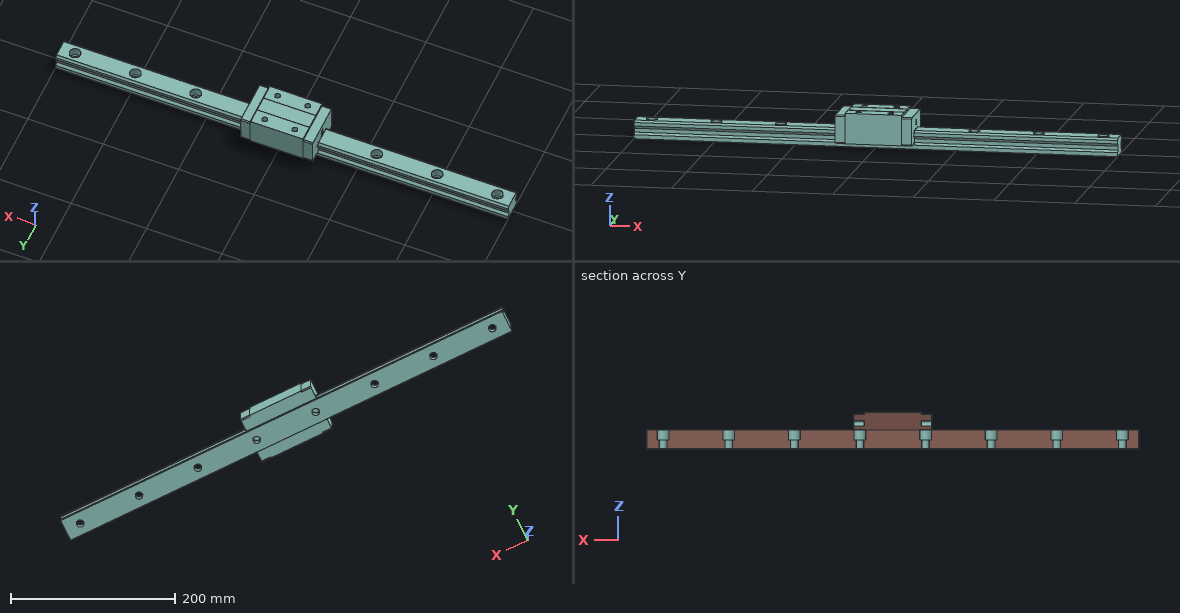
import cadquery as cq
import math

rail_length = 600.0
rail_width = 28.0
rail_height = 23.0
waist_width = 21.0
foot_height = 5.2
waist_bottom = 7.8
waist_top = 12.6
head_bottom = 16.1

cove_radius = 4.0
cove_offset = 1.2

hole_pitch = 80.0
hole_count = 8
hole_diameter = 9.0
counterbore_diameter = 14.0
counterbore_depth = 12.0

overall_height = 45.0
carriage_bottom = 7.0
body_length = 70.0
body_width = 60.0

carriage_length = 95.4
cap_length = (carriage_length - body_length) / 2
cap_width = 59.8
cap_top = 42.2
cap_chamfer = 1.5

relief_width = 20.0
relief_depth = 0.2

tap_diameter = 6.75
tap_depth = 12.0
tap_spacing_x = 40.0
tap_spacing_y = 40.0
drill_point_angle = 118.0
drill_tip_height = tap_diameter / 2 / math.tan(math.radians(drill_point_angle / 2))

grease_diameter = 6.0
grease_height = 31.0


def flank_points(side):
    """Corners up one flank of the rail, from the foot to the top."""
    edge = side * rail_width / 2
    waist = side * waist_width / 2
    return [
        (edge, 0),
        (edge, foot_height),
        (waist, waist_bottom),
        (waist, waist_top),
        (edge, head_bottom),
        (edge, rail_height),
    ]


def make_rail_blank():
    """Rail without its mounting holes."""
    outline = flank_points(1) + flank_points(-1)[::-1]
    blank = cq.Workplane("YZ").polyline(outline).close().extrude(rail_length / 2, both=True)
    cove_y = rail_width / 2 + cove_offset
    cove_z = rail_height + cove_offset
    coves = (
        cq.Workplane("YZ")
        .pushPoints([(-cove_y, cove_z), (cove_y, cove_z)])
        .circle(cove_radius)
        .extrude(rail_length / 2, both=True)
    )
    return blank.cut(coves)


def make_rail():
    return (
        make_rail_blank()
        .faces(">Z")
        .workplane(origin=(0, 0, rail_height))
        .rarray(hole_pitch, 1, hole_count, 1)
        .cboreHole(hole_diameter, counterbore_diameter, counterbore_depth)
    )


def make_block(length, width, bottom, top):
    """Box centred in X and Y between two heights."""
    base = cq.Workplane("XY", origin=(0, 0, bottom))
    return base.box(length, width, top - bottom, centered=(True, True, False))


def make_tap_hole(x, y):
    """Cutter for one blind hole: a cylinder ending in a drill cone."""
    down = cq.Vector(0, 0, -1)
    radius = tap_diameter / 2
    bore = cq.Solid.makeCylinder(radius, tap_depth, cq.Vector(x, y, overall_height), down)
    tip_start = cq.Vector(x, y, overall_height - tap_depth)
    tip = cq.Solid.makeCone(radius, 0, drill_tip_height, tip_start, down)
    return bore.fuse(tip)


def make_grease_hole(side):
    """Cutter through the end cap on one end, stopping at the body."""
    return (
        cq.Workplane("YZ", origin=(side * body_length / 2, 0, grease_height))
        .circle(grease_diameter / 2)
        .extrude(side * cap_length)
    )


def make_carriage():
    body = make_block(body_length, body_width, carriage_bottom, overall_height)
    caps = make_block(carriage_length, cap_width, carriage_bottom, cap_top)
    caps = caps.edges("|X").chamfer(cap_chamfer)
    relief = make_block(body_length, relief_width, overall_height - relief_depth, overall_height)
    carriage = body.union(caps).cut(make_rail_blank()).cut(relief)

    for side_x in (-1, 1):
        carriage = carriage.cut(make_grease_hole(side_x))
        for side_y in (-1, 1):
            tap_hole = make_tap_hole(side_x * tap_spacing_x / 2, side_y * tap_spacing_y / 2)
            carriage = carriage.cut(cq.Workplane(tap_hole))
    return carriage


rail = make_rail()
carriage = make_carriage()
result = cq.Compound.makeCompound([rail.solids().val(), carriage.solids().val()])